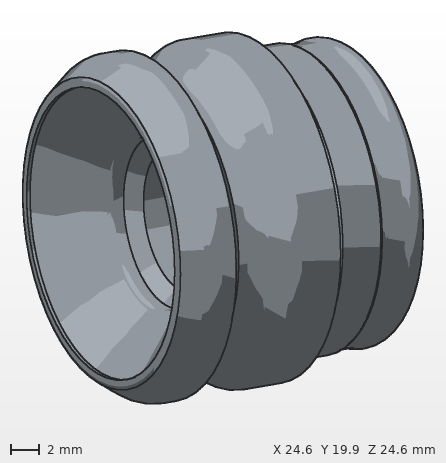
import cadquery as cq
import math

length = 19.9
flange_radius = 12.3

nose_face_radius = 10.7
nose_edge_radius = 10.95
nose_edge_length = 0.07
bevel_end = (11.9, 1.48)
bevel_blend_mid = (12.2, 2.02)
front_flange_start = 2.63
front_flange_end = 3.84
lip_round = 0.2

groove_radius = 10.35
groove_lip_radius = 11.41
groove_front_y = 5.07
groove_back_y = 5.78
groove_blend_mid = (10.53, 6.5)
groove_blend_end = (10.97, 7.15)
shoulder_start = (12.03, 8.31)
shoulder_mid = (12.23, 8.63)
rear_flange_start = 9.0
rear_flange_end = 12.08

neck_radius = 10.73
collar_radius = 10.95
relief_start = 12.42
relief_blend_end = (10.77, 12.6)
relief_blend = 0.22
collar_start = 13.05
collar_end = 16.0
collar_round = 0.2
collar_step_end = (10.77, 16.29)
rear_neck_blend = 2.45
rear_neck_start = 16.78
rear_neck_end = 18.13
bead_start = 18.55
bead_blend = 1.23
bead_radius = 10.92
bead_round = 1.0
bead_center_y = length - bead_round
bead_start_radius = bead_radius - bead_round + math.sqrt(bead_round**2 - (bead_center_y - bead_start)**2)

mouth_radius = 10.25
mouth_land_depth = 0.27
flare_end_radius = 6.35
flare_end_y = 4.15
counterbore_radius = 6.08
counterbore_front_y = 4.53
counterbore_back_y = 5.35
throat_mid = (6.15, 4.33)
bore_radius = 5.07
bore_start = counterbore_back_y + counterbore_radius - bore_radius


def outer_profile(path):
    """Draw the outside from the mouth face to the back face."""
    path = path.lineTo(nose_face_radius, 0).lineTo(nose_edge_radius, nose_edge_length)
    path = path.lineTo(*bevel_end)
    path = path.threePointArc(bevel_blend_mid, (flange_radius, front_flange_start))
    path = path.lineTo(flange_radius, front_flange_end - lip_round)
    path = path.radiusArc((flange_radius - lip_round, front_flange_end), -lip_round)
    path = path.lineTo(groove_lip_radius, front_flange_end)
    path = path.lineTo(groove_radius, groove_front_y).lineTo(groove_radius, groove_back_y)
    path = path.threePointArc(groove_blend_mid, groove_blend_end).lineTo(*shoulder_start)
    path = path.threePointArc(shoulder_mid, (flange_radius, rear_flange_start))
    path = path.lineTo(flange_radius, rear_flange_end)
    path = path.lineTo(neck_radius, rear_flange_end).lineTo(neck_radius, relief_start)
    path = path.radiusArc(relief_blend_end, relief_blend)
    path = path.lineTo(collar_radius, collar_start).lineTo(collar_radius, collar_end)
    path = path.radiusArc((collar_radius - collar_round, collar_end + collar_round), -collar_round)
    path = path.lineTo(*collar_step_end).radiusArc((neck_radius, rear_neck_start), rear_neck_blend)
    path = path.lineTo(neck_radius, rear_neck_end)
    path = path.radiusArc((bead_start_radius, bead_start), bead_blend)
    return path.radiusArc((bead_radius - bead_round, length), -bead_round)


def inner_profile(path):
    """Draw the inside from the back face to the mouth."""
    path = path.lineTo(bore_radius, length).lineTo(bore_radius, bore_start)
    path = path.lineTo(counterbore_radius, counterbore_back_y)
    path = path.lineTo(counterbore_radius, counterbore_front_y)
    path = path.threePointArc(throat_mid, (flare_end_radius, flare_end_y))
    path = path.lineTo(mouth_radius, mouth_land_depth)
    return path.lineTo(mouth_radius, 0)


profile = inner_profile(outer_profile(cq.Workplane("XY").moveTo(mouth_radius, 0))).close()
result = profile.revolve(360, (0, 0, 0), (0, 1, 0))